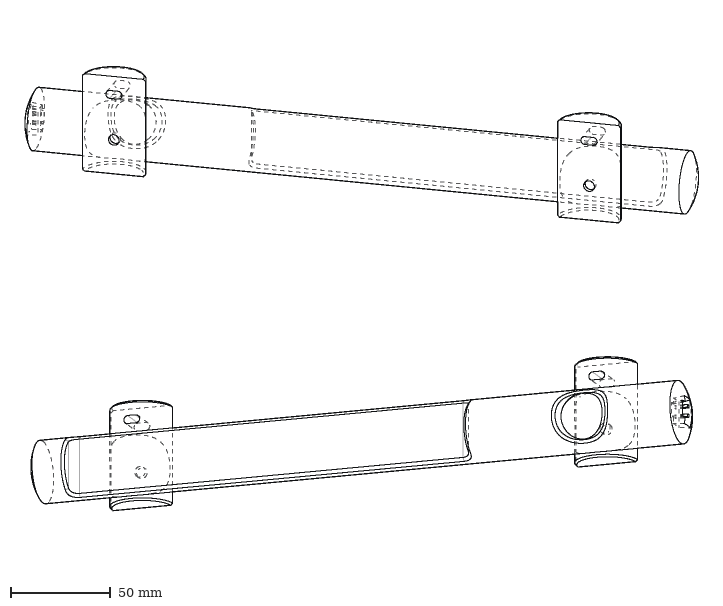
import cadquery as cq
import math

total_length = 349.5
tube_radius = 16.0
cap_rise = 4.5
cap_start = total_length / 2 - cap_rise

bracket_offset = 124.0
bracket_width = 33.0
bracket_depth = 15.7
bracket_height = 52.0
bracket_chamfer = 1.0
bracket_bottom = -18.0
mounting_face_y = -19.0

slot_length = 8.5
slot_width = 4.2
slot_z = 24.0
screw_hole_diameter = 5.5
screw_hole_depth = -tube_radius - mounting_face_y

window_start_x = -59.7
window_end_x = 153.5
window_floor_y = 4.2
window_corner_radius = 4.2
window_chamfer = 1.5

dome_x = -122.0
dome_radius = 12.0
dome_top_y = 20.3
dome_base_overlap = 1.7
hollow_width = 28.0
hollow_floor_y = 9.0
hollow_chamfer = 1.0

socket_width = 9.5
socket_height = 14.5
socket_step_y = 4.2
key_depth = 3.0
key_height = 8.5
socket_depth = 7.0
socket_draft_angle = 6.0
pin_width = 1.7
pin_height = 1.5
pin_y = 1.0
pin_offset_z = 2.5


def make_tube():
    """Round bar with spherical end caps, revolved about the X axis.

    The seam of the cylinder lies at +Z, clear of the openings on the +Y side.
    """
    sphere_radius = (tube_radius**2 + cap_rise**2) / (2 * cap_rise)
    mid_angle = math.asin(tube_radius / sphere_radius) / 2
    mid_x = total_length / 2 - sphere_radius * (1 - math.cos(mid_angle))
    mid_radius = sphere_radius * math.sin(mid_angle)
    return (
        cq.Workplane("XZ")
        .moveTo(-total_length / 2, 0)
        .threePointArc((-mid_x, mid_radius), (-cap_start, tube_radius))
        .lineTo(cap_start, tube_radius)
        .threePointArc((mid_x, mid_radius), (total_length / 2, 0))
        .close()
        .revolve(360, (0, 0, 0), (1, 0, 0))
    )


def chamfer_last_rim(body, size):
    """Chamfer the rim of the opening furthest along +X in the tube wall."""
    tube_wall = max(body.faces("%CYLINDER").vals(), key=lambda face: face.Area())
    rim = max(tube_wall.innerWires(), key=lambda wire: wire.Center().x)
    return body.newObject(rim.Edges()).chamfer(size)


def cut_hollow(body):
    """Trough with a circular-arc profile, cut across the tube around the dome."""
    half_width = hollow_width / 2
    depth = tube_radius - hollow_floor_y
    arc_radius = (half_width**2 + depth**2) / (2 * depth)
    cutter = (
        cq.Workplane("XY", origin=(dome_x, hollow_floor_y + arc_radius, 0))
        .circle(arc_radius)
        .extrude(2 * tube_radius, both=True)
    )
    return chamfer_last_rim(body.cut(cutter), hollow_chamfer)


def cut_window(body):
    """Flat-floored window across the tube, with rounded floor corners."""
    cutter = (
        cq.Workplane("XY")
        .box(window_end_x - window_start_x, 2 * tube_radius, 4 * tube_radius, centered=(False, False, True))
        .translate((window_start_x, window_floor_y, 0))
        .edges("|Z and <Y")
        .fillet(window_corner_radius)
    )
    return chamfer_last_rim(body.cut(cutter), window_chamfer)


def make_dome():
    """Hemisphere on a short cylinder that is sunk into the hollow."""
    shoulder_y = dome_top_y - dome_radius
    arc_reach = dome_radius * math.sqrt(0.5)
    return (
        cq.Workplane("XY", origin=(dome_x, 0, 0))
        .moveTo(0, hollow_floor_y - dome_base_overlap)
        .lineTo(dome_radius, hollow_floor_y - dome_base_overlap)
        .lineTo(dome_radius, shoulder_y)
        .threePointArc((arc_reach, shoulder_y + arc_reach), (0, dome_top_y))
        .close()
        .revolve(360, (0, 0, 0), (0, 1, 0))
    )


def make_bracket(center_x):
    """Upright block with an arc-shaped back towards the tube."""
    return (
        cq.Workplane("XY", origin=(center_x, mounting_face_y, bracket_bottom))
        .moveTo(-bracket_width / 2, 0)
        .threePointArc((0, bracket_depth), (bracket_width / 2, 0))
        .close()
        .extrude(bracket_height)
        .edges("%CIRCLE")
        .chamfer(bracket_chamfer)
    )


def make_bracket_holes(center_x):
    """Slot right through the bracket above the tube, and a blind screw hole on the tube axis."""
    face = cq.Workplane("XZ", origin=(center_x, mounting_face_y, 0))
    slot = face.center(0, slot_z).slot2D(slot_length, slot_width).extrude(-bracket_depth)
    screw_hole = face.circle(screw_hole_diameter / 2).extrude(-screw_hole_depth)
    return slot.union(screw_hole)


def make_socket():
    """Keyed pocket with drafted walls and two contact pins left standing flush with the cap."""
    end = cq.Workplane("YZ", origin=(-total_length / 2, 0, 0))
    back_y = socket_step_y - socket_width
    key_y = socket_step_y + key_depth
    pocket = (
        end.moveTo(back_y, -socket_height / 2)
        .lineTo(socket_step_y, -socket_height / 2)
        .lineTo(socket_step_y, -key_height / 2)
        .lineTo(key_y, -key_height / 2)
        .lineTo(key_y, key_height / 2)
        .lineTo(socket_step_y, key_height / 2)
        .lineTo(socket_step_y, socket_height / 2)
        .lineTo(back_y, socket_height / 2)
        .close()
        .extrude(socket_depth, taper=socket_draft_angle)
    )
    pins = (
        end.pushPoints([(pin_y, -pin_offset_z), (pin_y, pin_offset_z)])
        .rect(pin_width, pin_height)
        .extrude(socket_depth)
    )
    return pocket.cut(pins)


result = cut_window(cut_hollow(make_tube()))
result = result.union(make_dome())
for bracket_x in (-bracket_offset, bracket_offset):
    result = result.union(make_bracket(bracket_x))
    result = result.cut(make_bracket_holes(bracket_x))
result = result.cut(make_socket())